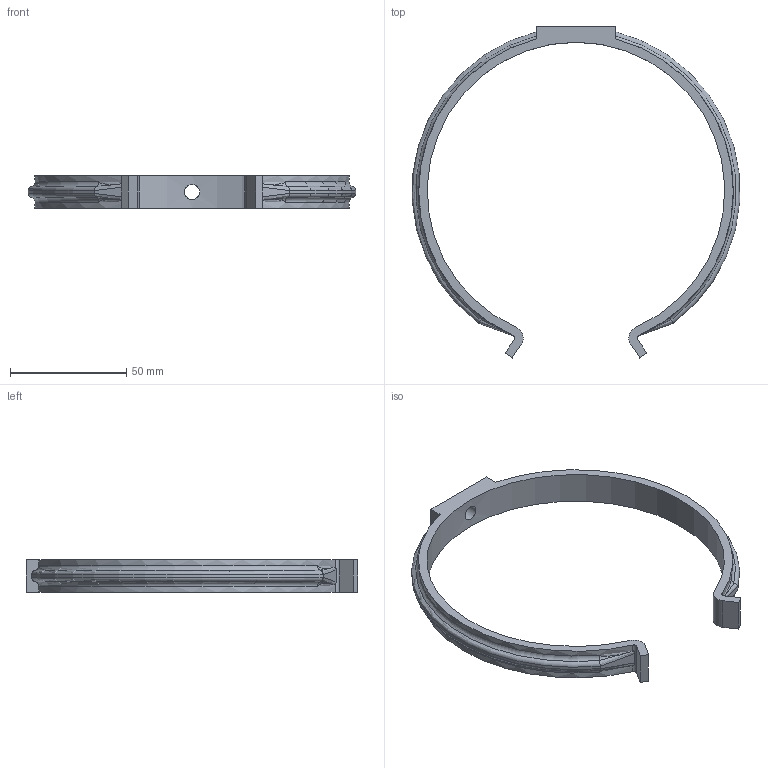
import cadquery as cq
import math

band_height = 14.0
band_inner_radius = 64.0
band_thickness = 3.65
band_outer_radius = band_inner_radius + band_thickness
mid_height = band_height / 2

bend_outer_radius = 5.0
bend_inner_radius = bend_outer_radius - band_thickness
bend_centre_radius = band_outer_radius + bend_inner_radius
bend_centre_angle = math.radians(-66.3)
lip_lean = math.radians(34.0)
lip_length = 7.0

bead_crest_radius = 70.575
bead_height = bead_crest_radius - band_outer_radius
bead_half_width = 2.4
bead_base_half_width = 4.5
bead_round_radius = 1.75
bead_crest_half_width = bead_half_width - bead_round_radius
bead_flank_rise = bead_height - bead_round_radius
bead_overlap = 1.0

bead_full_end_angle = math.radians(-53.6)
taper_end_angle = bend_centre_angle - math.radians(0.7)
taper_end_height = 0.15
taper_end_crest_half_width = 2.5
taper_end_half_width = 3.9

pad_width = 34.0
pad_outer_face = 71.0
screw_hole_diameter = 6.5


def polar(radius, angle):
    """Point at a radius and angle about the origin."""
    return (radius * math.cos(angle), radius * math.sin(angle))


def offset(point, distance, direction):
    """Point moved a distance along a unit direction."""
    return (point[0] + distance * direction[0], point[1] + distance * direction[1])


def mirrored(point):
    """Point reflected from the +X side to the -X side."""
    return (-point[0], point[1])


def flipped(point):
    """Point of the bead profile moved to the lower half."""
    return (point[0], -point[1])


def make_band():
    """Open band with a bend and a straight lip at each end, symmetric about YZ."""
    lip_direction = (math.sin(lip_lean), -math.cos(lip_lean))
    lip_normal = (-math.cos(lip_lean), -math.sin(lip_lean))
    bend_mid_angle = math.pi + (bend_centre_angle + lip_lean) / 2
    bend_mid_direction = polar(1, bend_mid_angle)

    bend_centre = polar(bend_centre_radius, bend_centre_angle)
    band_end_outer = polar(band_outer_radius, bend_centre_angle)
    band_end_inner = polar(band_inner_radius, bend_centre_angle)
    outer_mid = offset(bend_centre, bend_outer_radius, bend_mid_direction)
    outer_end = offset(bend_centre, bend_outer_radius, lip_normal)
    outer_tip = offset(outer_end, lip_length, lip_direction)
    inner_mid = offset(bend_centre, bend_inner_radius, bend_mid_direction)
    inner_end = offset(bend_centre, bend_inner_radius, lip_normal)
    inner_tip = offset(inner_end, lip_length, lip_direction)
    return (
        cq.Workplane("XY")
        .moveTo(*mirrored(band_end_inner))
        .threePointArc((0, band_inner_radius), band_end_inner)
        .threePointArc(outer_mid, outer_end)
        .lineTo(*outer_tip)
        .lineTo(*inner_tip)
        .lineTo(*inner_end)
        .threePointArc(inner_mid, band_end_outer)
        .threePointArc((0, band_outer_radius), mirrored(band_end_outer))
        .threePointArc(mirrored(inner_mid), mirrored(inner_end))
        .lineTo(*mirrored(inner_tip))
        .lineTo(*mirrored(outer_tip))
        .lineTo(*mirrored(outer_end))
        .threePointArc(mirrored(outer_mid), mirrored(band_end_inner))
        .close()
        .extrude(band_height)
    )


def draw_bead_section(angle, height, crest_half_width, half_width):
    """Closed bead profile in the radial plane at the given angle.

    The profile has a flat crest with rounded edges and a concave flank on each side
    that leaves the band surface tangentially.
    """
    root_radius = band_outer_radius - bead_overlap
    crest_radius = band_outer_radius + height
    flank_rise = height * bead_flank_rise / bead_height
    shoulder_radius = band_outer_radius + flank_rise

    round_mid = (
        shoulder_radius + (crest_radius - shoulder_radius) * math.sqrt(0.5),
        crest_half_width + (half_width - crest_half_width) * math.sqrt(0.5),
    )

    flank_width = bead_base_half_width - half_width
    flank_radius = (flank_width**2 + flank_rise**2) / (2 * flank_rise)
    flank_half_angle = math.atan2(flank_rise, flank_width)
    flank_mid = (
        band_outer_radius + flank_radius * (1 - math.cos(flank_half_angle)),
        bead_base_half_width - flank_radius * math.sin(flank_half_angle),
    )

    base = (band_outer_radius, bead_base_half_width)
    shoulder = (shoulder_radius, half_width)
    crest_edge = (crest_radius, crest_half_width)
    plane = cq.Plane(
        origin=(0, 0, mid_height),
        xDir=(math.cos(angle), math.sin(angle), 0),
        normal=(math.sin(angle), -math.cos(angle), 0),
    )
    return (
        cq.Workplane(plane)
        .moveTo(root_radius, -bead_base_half_width)
        .lineTo(*flipped(base))
        .threePointArc(flipped(flank_mid), flipped(shoulder))
        .threePointArc(flipped(round_mid), flipped(crest_edge))
        .lineTo(*crest_edge)
        .threePointArc(round_mid, shoulder)
        .threePointArc(flank_mid, base)
        .lineTo(root_radius, bead_base_half_width)
        .close()
    )


def draw_full_bead_section():
    """Full-size bead profile, at the point where the +X taper starts."""
    return draw_bead_section(bead_full_end_angle, bead_height, bead_crest_half_width, bead_half_width)


def make_bead():
    """Bead round the back of the band, from one taper to the other."""
    sweep_degrees = 180 - 2 * math.degrees(bead_full_end_angle)
    return draw_full_bead_section().revolve(sweep_degrees, (0, 0, 0), (0, 1, 0))


def make_bead_taper():
    """Straight-sided transition from the full bead to the +X bend."""
    full_section = draw_full_bead_section().val()
    end_section = draw_bead_section(
        taper_end_angle, taper_end_height, taper_end_crest_half_width, taper_end_half_width
    ).val()
    return cq.Workplane(cq.Solid.makeLoft([full_section, end_section], True))


def make_pad():
    """Block with a flat outer face, sitting across the back of the band."""
    pad = (
        cq.Workplane("XY")
        .center(0, pad_outer_face / 2)
        .rect(pad_width, pad_outer_face)
        .extrude(band_height)
    )
    bore = cq.Workplane("XY").circle(band_inner_radius).extrude(band_height)
    return pad.cut(bore)


def make_screw_hole():
    """Cylinder along Y through the middle of the pad."""
    return (
        cq.Workplane("XZ")
        .center(0, mid_height)
        .circle(screw_hole_diameter / 2)
        .extrude(-2 * pad_outer_face)
    )


bead_taper = make_bead_taper()
result = (
    make_band()
    .union(make_bead())
    .union(bead_taper)
    .union(bead_taper.mirror("YZ"))
    .union(make_pad())
    .cut(make_screw_hole())
)